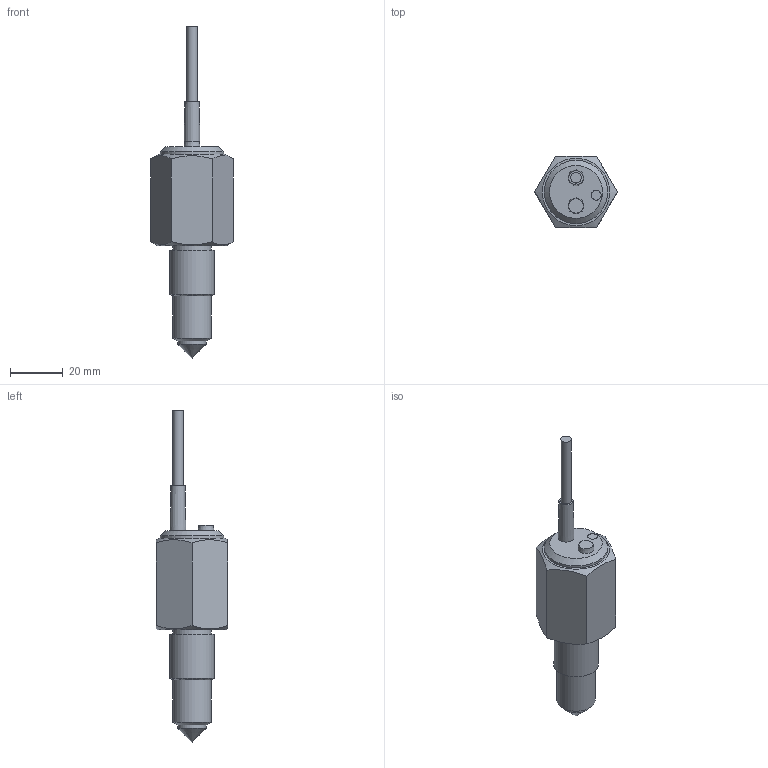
import cadquery as cq
import math

total_height = 125.6
hex_across_flats = 27.0

neck_bottom = 5.25
neck_top = 6.45
shank_bottom = 7.4
thread_bottom = 23.6
relief_bottom = 40.8
hex_bottom = 42.5
hex_top = 77.0
cap_top = 80.0
gland_top = 97.0

neck_radius = 5.4
shank_radius = 7.35
thread_radius = 8.5
thread_chamfer_height = 0.5
relief_radius = 7.25

hex_bottom_radius = 13.0
hex_top_radius = 12.75
hex_chamfer_angle = 30.0

cap_radius = 12.0
cap_chamfer = 2.0

boss_offset = 5.3
boss_base_radius = 3.0
boss_top_radius = 2.7
cable_radius = 2.0
peg_height = 2.0

window_x = 7.65
window_y = -1.25
window_radius = 1.85
window_depth = 0.1


def make_stem():
    """Revolve the pointed tip, neck, shank, thread and thread relief."""
    return (
        cq.Workplane("XZ")
        .moveTo(0, 0)
        .lineTo(neck_radius, neck_bottom)
        .lineTo(neck_radius, neck_top)
        .lineTo(shank_radius, shank_bottom)
        .lineTo(shank_radius, thread_bottom)
        .lineTo(thread_radius, thread_bottom + thread_chamfer_height)
        .lineTo(thread_radius, relief_bottom)
        .lineTo(relief_radius, relief_bottom)
        .lineTo(relief_radius, hex_bottom)
        .lineTo(0, hex_bottom)
        .close()
        .revolve(360, (0, 0), (0, 1))
    )


def make_hexagon():
    """Hexagonal body with its corners trimmed by a cone at each end."""
    corner_radius = hex_across_flats / math.sqrt(3)
    slope = math.tan(math.radians(hex_chamfer_angle))
    prism = (
        cq.Workplane("XY")
        .workplane(offset=hex_bottom)
        .polygon(6, 2 * corner_radius)
        .extrude(hex_top - hex_bottom)
    )
    envelope_profile = [
        (0, hex_bottom),
        (hex_bottom_radius, hex_bottom),
        (corner_radius, hex_bottom + (corner_radius - hex_bottom_radius) * slope),
        (corner_radius, hex_top - (corner_radius - hex_top_radius) * slope),
        (hex_top_radius, hex_top),
        (0, hex_top),
    ]
    envelope = cq.Workplane("XZ").polyline(envelope_profile).close().revolve(360, (0, 0), (0, 1))
    return prism.intersect(envelope)


def make_cap():
    """Round cap with a chamfered top edge."""
    return (
        cq.Workplane("XY")
        .workplane(offset=hex_top)
        .circle(cap_radius)
        .extrude(cap_top - hex_top)
        .faces(">Z")
        .chamfer(cap_chamfer)
    )


def make_tapered_boss(y, height):
    """Slightly conical boss standing on the cap at the given Y."""
    base = cq.Vector(0, y, cap_top)
    return cq.Workplane(cq.Solid.makeCone(boss_base_radius, boss_top_radius, height, base))


def make_cable():
    """Cable rising from the top of the gland."""
    return (
        cq.Workplane("XY")
        .workplane(offset=gland_top)
        .center(0, boss_offset)
        .circle(cable_radius)
        .extrude(total_height - gland_top)
    )


def make_window():
    """Volume removed from the cap for the round window."""
    return (
        cq.Workplane("XY")
        .workplane(offset=cap_top - window_depth)
        .center(window_x, window_y)
        .circle(window_radius)
        .extrude(window_depth)
    )


gland = make_tapered_boss(boss_offset, gland_top - cap_top)
peg = make_tapered_boss(-boss_offset, peg_height)

result = (
    make_stem()
    .union(make_hexagon())
    .union(make_cap())
    .union(gland)
    .union(peg)
    .union(make_cable())
    .cut(make_window())
)